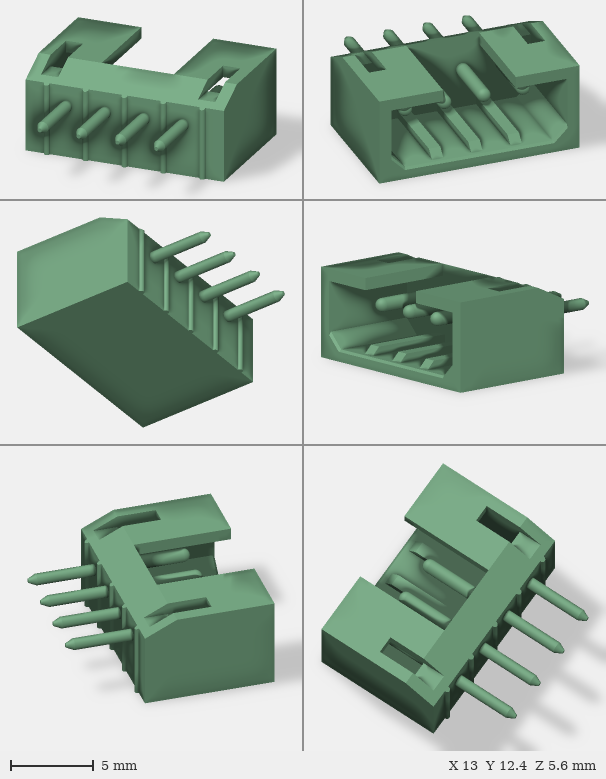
import cadquery as cq
import math

WIDTH = 12.98
HEIGHT = 5.6
DEPTH = 8.2
SLOPE_LENGTH = 2.04
SLOPE_DROP = 0.97

CAVITY_HALF_WIDTH = 5.71
FLOOR_Z = 0.75
CEILING_Z = 4.84
CAVITY_FRONT_Y = SLOPE_LENGTH
CORNER_BEVEL = 0.93
LEAD_IN = 0.14

SLOT_WIDTH = 4.71
WINDOW_WIDTH = 1.13
WINDOW_CENTRE_X = 5.14
WINDOW_FRONT_Y = 0.53
WINDOW_LENGTH = 3.93

PITCH = 2.55
PIN_COUNT = 4
PIN_Z = 3.31
TAIL_RADIUS = 0.36
TAIL_LENGTH = 4.19
TAIL_TIP_RADIUS = 0.13
TAIL_TIP_LENGTH = 0.49
CONTACT_RADIUS = 0.43
CONTACT_END_Y = 6.02

GUIDE_WIDTH = 0.74
GUIDE_HEIGHT = 0.49
GUIDE_END_Y = 7.76

STANDOFF_RADIUS = 0.18
STANDOFF_HEIGHT = 0.21
STANDOFF_ROOT = 0.13


def centred_positions(count):
    """X places of `count` features spaced one pitch apart about the middle."""
    return [(i - (count - 1) / 2) * PITCH for i in range(count)]


def extrude_side_profile(points, width, centre_x):
    """Extrude a (Y, Z) outline along X, centred on centre_x."""
    side_plane = cq.Workplane("YZ", origin=(centre_x - width / 2, 0, 0))
    return side_plane.polyline(points).close().extrude(width)


def box_between(x_range, y_range, z_range):
    """Axis-aligned box from its lower and upper limits."""
    sizes = [high - low for low, high in (x_range, y_range, z_range)]
    corner = (x_range[0], y_range[0], z_range[0])
    return cq.Workplane("XY").box(*sizes, centered=False).translate(corner)


def standoff(x):
    """Full-height rib with straight flanks and a round crest."""
    flank_end_y = STANDOFF_RADIUS - STANDOFF_HEIGHT
    return (
        cq.Workplane("XY")
        .moveTo(x - STANDOFF_RADIUS, STANDOFF_ROOT)
        .lineTo(x - STANDOFF_RADIUS, flank_end_y)
        .threePointArc((x, -STANDOFF_HEIGHT), (x + STANDOFF_RADIUS, flank_end_y))
        .lineTo(x + STANDOFF_RADIUS, STANDOFF_ROOT)
        .close()
        .extrude(HEIGHT)
    )


def outer_block():
    """Solid housing with its standoffs, trimmed by the sloped upper edge."""
    block = box_between((-WIDTH / 2, WIDTH / 2), (0, DEPTH), (0, HEIGHT))
    for x in centred_positions(PIN_COUNT + 1):
        block = block.union(standoff(x))
    gradient = SLOPE_DROP / SLOPE_LENGTH
    low_y = -2 * STANDOFF_HEIGHT
    low_z = HEIGHT - gradient * (SLOPE_LENGTH - low_y)
    wedge = [(SLOPE_LENGTH, HEIGHT), (low_y, HEIGHT), (low_y, low_z)]
    return block.cut(extrude_side_profile(wedge, WIDTH, 0))


def cavity():
    """Mating space with bevelled lower corners and a lead-in along its lower edge."""
    bevel_x = CAVITY_HALF_WIDTH - CORNER_BEVEL
    mouth_plane = cq.Workplane("XZ", origin=(0, DEPTH - LEAD_IN, 0))
    outline = [
        (-bevel_x, FLOOR_Z),
        (bevel_x, FLOOR_Z),
        (CAVITY_HALF_WIDTH, FLOOR_Z + CORNER_BEVEL),
        (CAVITY_HALF_WIDTH, CEILING_Z),
        (-CAVITY_HALF_WIDTH, CEILING_Z),
        (-CAVITY_HALF_WIDTH, FLOOR_Z + CORNER_BEVEL),
    ]
    space = mouth_plane.polyline(outline).close().extrude(DEPTH - LEAD_IN - CAVITY_FRONT_Y)
    flare = mouth_plane.polyline(outline).close().extrude(-LEAD_IN, taper=-45)
    flare_limits = box_between((-CAVITY_HALF_WIDTH, CAVITY_HALF_WIDTH), (0, DEPTH), (0, CEILING_Z))
    return space.union(flare.intersect(flare_limits))


def top_slot():
    """Opening in the top wall between the two wings."""
    return box_between((-SLOT_WIDTH / 2, SLOT_WIDTH / 2), (CAVITY_FRONT_Y, DEPTH), (CEILING_Z, HEIGHT))


def window(x):
    """Pocket through the top wall that runs out over the sloped edge."""
    return box_between(
        (x - WINDOW_WIDTH / 2, x + WINDOW_WIDTH / 2),
        (WINDOW_FRONT_Y, WINDOW_FRONT_Y + WINDOW_LENGTH),
        (CEILING_Z, HEIGHT),
    )


def guide_rib(x):
    """Rib on the cavity floor with a 45 degree ramp at its open end."""
    top_z = FLOOR_Z + GUIDE_HEIGHT
    outline = [
        (CAVITY_FRONT_Y, FLOOR_Z),
        (GUIDE_END_Y, FLOOR_Z),
        (GUIDE_END_Y - GUIDE_HEIGHT, top_z),
        (CAVITY_FRONT_Y, top_z),
    ]
    return extrude_side_profile(outline, GUIDE_WIDTH, x)


def pin(x):
    """Contact with a domed end inside the cavity and a tapered solder tail."""
    dome_centre_y = CONTACT_END_Y - CONTACT_RADIUS
    dome_mid = CONTACT_RADIUS * math.sqrt(0.5)
    outline = [
        (0, -TAIL_LENGTH),
        (TAIL_TIP_RADIUS, -TAIL_LENGTH),
        (TAIL_RADIUS, TAIL_TIP_LENGTH - TAIL_LENGTH),
        (TAIL_RADIUS, CAVITY_FRONT_Y),
        (CONTACT_RADIUS, CAVITY_FRONT_Y),
        (CONTACT_RADIUS, dome_centre_y),
    ]
    return (
        cq.Workplane("XY")
        .polyline(outline)
        .threePointArc((dome_mid, dome_centre_y + dome_mid), (0, CONTACT_END_Y))
        .close()
        .revolve(360, (0, 0, 0), (0, 1, 0))
        .translate((x, 0, PIN_Z))
    )


result = outer_block().cut(cavity()).cut(top_slot())
for side in (-1, 1):
    result = result.cut(window(side * WINDOW_CENTRE_X))
for x in centred_positions(PIN_COUNT - 1):
    result = result.union(guide_rib(x))
for x in centred_positions(PIN_COUNT):
    result = result.union(pin(x))